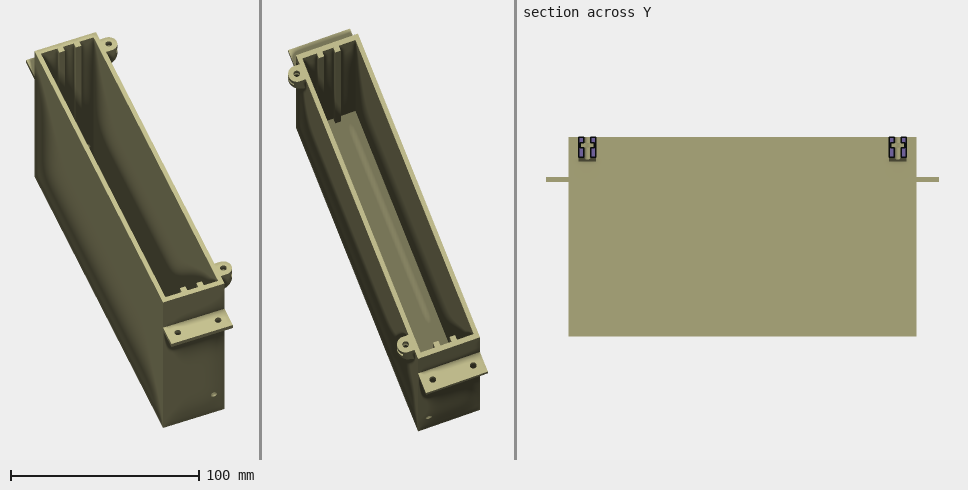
import cadquery as cq

overall_length = 209.0
overall_depth = 43.0
height = 106.0

wall = 2.5
end_wall = 3.0
box_length = 185.0
box_depth = 35.1
back_y = box_depth / 2
front_y = -box_depth / 2
inner_length = box_length - 2 * end_wall

tab_length = (overall_length - box_length) / 2
hole_diameter = 3.5
hole_inset = 6.0
tab_thickness = 2.5
tab_drop = 21.3

ear_spacing = 165.0
ear_reach = overall_depth - box_depth
ear_radius = 4.5
ear_tip_height = 7.7
ear_root_height = 13.0
nut_slot_drop = 3.1
nut_slot_height = 2.5
nut_slot_width = 7.1

rib_count = 2
rib_width = 3.1
rib_reach = 3.0
rib_gap = 6.3
first_rib_inset = 10.7

side_hole_height = 15.0


def block(length, depth, tall, x, y, z):
    """Box centred at x, starting at y and z."""
    corner = cq.Workplane("XY", origin=(x, y, z))
    return corner.box(length, depth, tall, centered=(True, False, False))


def make_box():
    outer = block(box_length, box_depth, height, 0, front_y, 0)
    cavity = block(inner_length, box_depth - 2 * wall, height, 0, front_y + wall, wall)
    return outer.cut(cavity)


def make_tab(side):
    """Flat tab with two screw holes; side is -1 for -X and +1 for +X."""
    centre_x = side * (box_length + tab_length) / 2
    bottom = height - tab_drop - tab_thickness
    tab = block(tab_length, box_depth, tab_thickness, centre_x, front_y, bottom)
    hole_places = [(centre_x, front_y + hole_inset), (centre_x, back_y - hole_inset)]
    holes = cq.Workplane("XY").pushPoints(hole_places).circle(hole_diameter / 2).extrude(height)
    return tab.cut(holes)


def make_ear(x):
    """Round-ended ear with a sloped underside, a screw hole and a nut slot open at its tip."""
    tip_y = back_y + ear_reach
    hole_y = tip_y - ear_radius
    bottom = height - ear_root_height
    ear = block(2 * ear_radius, hole_y - back_y, ear_root_height, x, back_y, bottom)
    ear_axis = cq.Workplane("XY", origin=(x, hole_y, bottom))
    ear = ear.union(ear_axis.circle(ear_radius).extrude(ear_root_height))
    side_profile = (
        cq.Workplane("YZ", origin=(x, 0, 0))
        .moveTo(back_y, height)
        .lineTo(tip_y, height)
        .lineTo(tip_y, height - ear_tip_height)
        .lineTo(back_y, bottom)
        .close()
        .extrude(ear_radius, both=True)
    )
    hole = ear_axis.circle(hole_diameter / 2).extrude(ear_root_height)
    slot_bottom = height - nut_slot_drop - nut_slot_height
    nut_slot = block(nut_slot_width, ear_reach, nut_slot_height, x, back_y, slot_bottom)
    return ear.intersect(side_profile).cut(hole).cut(nut_slot)


def make_rib(side, inset):
    """Full-height guide rib; inset runs from the back face to the near side of the rib."""
    centre_x = side * (inner_length - rib_reach) / 2
    return block(rib_reach, rib_width, height - wall, centre_x, back_y - inset - rib_width, wall)


result = make_box()
for side in (-1, 1):
    result = result.union(make_tab(side))
    result = result.union(make_ear(side * ear_spacing / 2))
    for rib_index in range(rib_count):
        result = result.union(make_rib(side, first_rib_inset + rib_index * (rib_width + rib_gap)))

side_hole = (
    cq.Workplane("YZ")
    .center(back_y - hole_inset, side_hole_height)
    .circle(hole_diameter / 2)
    .extrude(box_length / 2, both=True)
)
result = result.cut(side_hole)